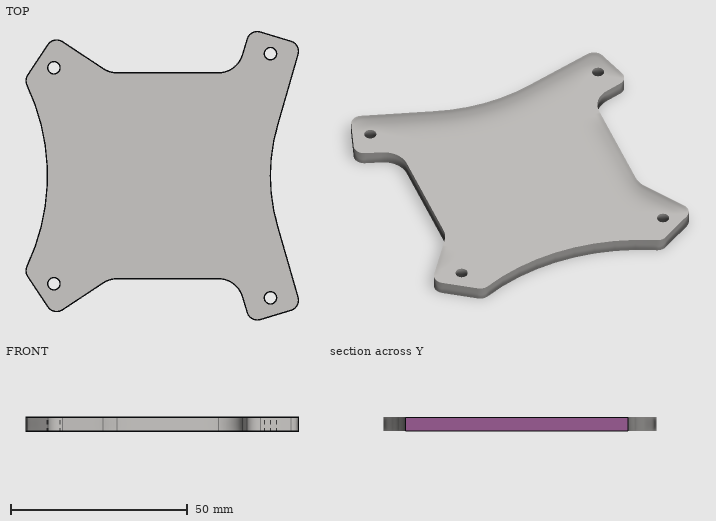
import cadquery as cq
import math

thickness = 4.0
half_waist = 29.1
left_waist_x = -32.5
right_waist_x = 30.6
right_arc_radius = 50.75

hole_diameter = 3.4
left_hole = (-30.6, 30.5)
right_hole = (30.6, 34.5)
arm_half_width = 7.5
hole_to_tip = 5.05
left_arm_tilt = math.radians(33.5)
right_arm_tilt = math.radians(16.8)
tip_radius = 3.0
root_radius = 7.0


def offset(point, direction, along, across):
    """Move from a point along a direction, then across it to the left."""
    dx, dy = math.cos(direction), math.sin(direction)
    return (point[0] + along * dx - across * dy, point[1] + along * dy + across * dx)


def waist_crossing(point, direction):
    """Where a line through a point meets the straight top edge."""
    return (point[0] + (half_waist - point[1]) / math.tan(direction), half_waist)


def mirrored(point):
    return (point[0], -point[1])


left_direction = math.pi - left_arm_tilt
left_tip_outer = offset(left_hole, left_direction, hole_to_tip, arm_half_width)
left_tip_inner = offset(left_hole, left_direction, hole_to_tip, -arm_half_width)
left_root = waist_crossing(left_tip_inner, left_direction)

right_direction = math.pi / 2 - right_arm_tilt
right_tip_inner = offset(right_hole, right_direction, hole_to_tip, arm_half_width)
right_tip_outer = offset(right_hole, right_direction, hole_to_tip, -arm_half_width)
right_root = waist_crossing(right_tip_inner, right_direction)

right_arc_end = (
    right_waist_x + right_arc_radius * (1 - math.cos(right_arm_tilt)),
    right_arc_radius * math.sin(right_arm_tilt),
)

plate = (
    cq.Workplane("XY")
    .moveTo(*left_tip_outer)
    .lineTo(*left_tip_inner)
    .lineTo(*left_root)
    .lineTo(*right_root)
    .lineTo(*right_tip_inner)
    .lineTo(*right_tip_outer)
    .lineTo(*right_arc_end)
    .threePointArc((right_waist_x, 0), mirrored(right_arc_end))
    .lineTo(*mirrored(right_tip_outer))
    .lineTo(*mirrored(right_tip_inner))
    .lineTo(*mirrored(right_root))
    .lineTo(*mirrored(left_root))
    .lineTo(*mirrored(left_tip_inner))
    .lineTo(*mirrored(left_tip_outer))
    .threePointArc((left_waist_x, 0), left_tip_outer)
    .close()
    .extrude(thickness)
)


def round_corners(body, corners, radius):
    """Fillet the vertical edges at the given corners and their mirror images."""
    for corner in corners:
        for x, y in (corner, mirrored(corner)):
            nearest = cq.selectors.NearestToPointSelector((x, y, thickness / 2))
            body = body.edges("|Z").edges(nearest).fillet(radius)
    return body


tip_corners = [left_tip_outer, left_tip_inner, right_tip_inner, right_tip_outer]
plate = round_corners(plate, tip_corners, tip_radius)
plate = round_corners(plate, [left_root, right_root], root_radius)

hole_centres = [left_hole, right_hole, mirrored(left_hole), mirrored(right_hole)]
holes = cq.Workplane("XY").pushPoints(hole_centres).circle(hole_diameter / 2).extrude(thickness)
result = plate.cut(holes)